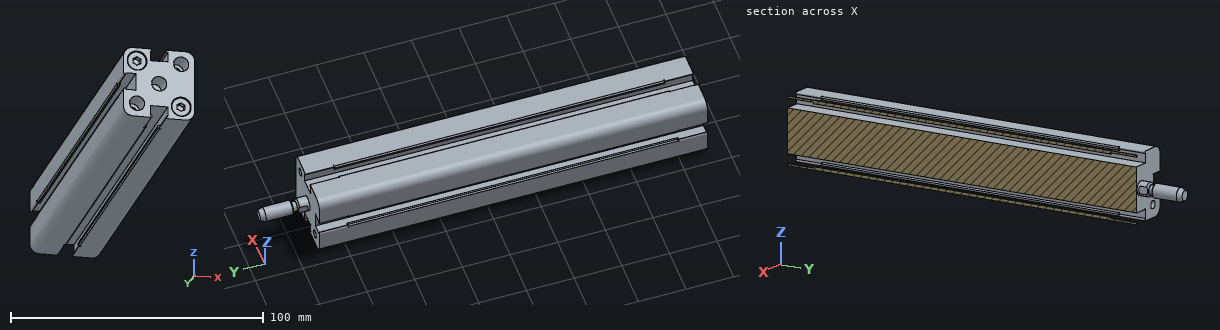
import cadquery as cq

total_length = 183.5
side = 29.0
half_side = side / 2
corner_radius = 3.7
rod_reach = 20.5
housing_length = total_length - rod_reach
cap_length = 12.1
tube_length = housing_length - 2 * cap_length

slot_width = 7.0
slot_depth = 5.0
tube_mouth_width = 5.9
tube_throat_width = 4.8
tube_throat_start = 0.5
tube_throat_end = 1.3
tube_lip_depth = 1.7
cap_lip_radius = 0.5
slot_angles = (0, 90, 180)

hole_offset = 9.0
through_diameter = 3.3
mount_diameter = 6.0
mount_depth = 9.2
port_diameter = 6.0
port_depth = 9.2
screw_bore_diameter = 8.0
screw_head_diameter = 7.5
recess_depth = 0.4
socket_width = 3.1
socket_depth = 2.8

rod_diameter = 6.0
tip_diameter = 4.4
tip_length = 2.2
thread_end = 13.5
neck_diameter = 4.2
neck_chamfer = 0.4
neck_end = 15.6
collar_chamfer = 0.7
flat_width = 5.1
flat_length = 4.0
flat_end_radius = 0.5


def along_y(profile, start, length):
    """Extrude an XZ profile towards +Y from the given Y position."""
    return profile.extrude(-length).translate((0, start, 0))


def square_bar(start, length):
    bar = along_y(cq.Workplane("XZ").rect(side, side), start, length)
    return bar.edges("|Y").fillet(corner_radius)


def cylinder(x, z, diameter, start, length):
    return along_y(cq.Workplane("XZ").center(x, z).circle(diameter / 2), start, length)


def cut_slots(bar, half_slot, start, length):
    """Cut the slot, given by the right half of its profile on the top face, into three faces."""
    half = along_y(half_slot, start, length)
    slot = half.union(half.mirror("YZ"))
    for angle in slot_angles:
        bar = bar.cut(slot.rotate((0, 0, 0), (0, 1, 0), -angle))
    return bar


def end_cap(start):
    """Cap whose slot mouths have a round bead on each side."""
    wall_x = slot_width / 2
    half_slot = (
        cq.Workplane("XZ")
        .moveTo(0, half_side)
        .lineTo(wall_x, half_side)
        .threePointArc(
            (wall_x - cap_lip_radius, half_side - cap_lip_radius),
            (wall_x, half_side - 2 * cap_lip_radius),
        )
        .lineTo(wall_x, half_side - slot_depth)
        .lineTo(0, half_side - slot_depth)
        .close()
    )
    return cut_slots(square_bar(start, cap_length), half_slot, start, cap_length)


def tube():
    """Profile tube whose slot mouths narrow to a throat between two bevelled lips."""
    half_slot = (
        cq.Workplane("XZ")
        .moveTo(0, half_side)
        .lineTo(tube_mouth_width / 2, half_side)
        .lineTo(tube_throat_width / 2, half_side - tube_throat_start)
        .lineTo(tube_throat_width / 2, half_side - tube_throat_end)
        .lineTo(slot_width / 2, half_side - tube_lip_depth)
        .lineTo(slot_width / 2, half_side - slot_depth)
        .lineTo(0, half_side - slot_depth)
        .close()
    )
    return cut_slots(square_bar(cap_length, tube_length), half_slot, cap_length, tube_length)


def piston_rod():
    """Turned rod with a threaded end, an undercut neck and a collar with two spanner flats."""
    rod_radius = rod_diameter / 2
    neck_radius = neck_diameter / 2
    neck_y = total_length - neck_end
    thread_y = total_length - thread_end
    profile = (
        cq.Workplane("XY")
        .moveTo(0, housing_length)
        .lineTo(rod_radius, housing_length)
        .lineTo(rod_radius, neck_y - collar_chamfer)
        .lineTo(rod_radius - collar_chamfer, neck_y)
        .lineTo(neck_radius, neck_y)
        .lineTo(neck_radius, thread_y - neck_chamfer)
        .lineTo(neck_radius + neck_chamfer, thread_y)
        .lineTo(rod_radius, thread_y)
        .lineTo(rod_radius, total_length - tip_length)
        .lineTo(tip_diameter / 2, total_length)
        .lineTo(0, total_length)
        .close()
    )
    rod = profile.revolve(360, (0, 0), (0, 1))
    cutter = cq.Workplane("XY").box(rod_diameter, flat_length, rod_diameter)
    cutter = cutter.edges("|Z and <X and <Y").fillet(flat_end_radius)
    cutter = cutter.translate(((flat_width + rod_diameter) / 2, neck_y - flat_length / 2, 0))
    return rod.cut(cutter).cut(cutter.mirror("YZ"))


def cut_front_features(body):
    body = body.cut(cylinder(0, 0, port_diameter, 0, port_depth))
    for sign in (-1, 1):
        across = sign * hole_offset
        body = body.cut(cylinder(across, across, through_diameter, 0, housing_length))
        body = body.cut(cylinder(across, across, mount_diameter, 0, mount_depth))
        recess = cq.Workplane("XZ").center(across, -across).circle(screw_bore_diameter / 2)
        recess = recess.workplane(offset=-recess_depth).circle(screw_head_diameter / 2).loft()
        hexagon = cq.Workplane("XZ").center(across, -across).polygon(6, socket_width, circumscribed=True)
        socket = along_y(hexagon, 0, recess_depth + socket_depth)
        body = body.cut(recess).cut(socket)
    return body


housing = tube().union(end_cap(0)).union(end_cap(housing_length - cap_length))
result = cut_front_features(housing).union(piston_rod())